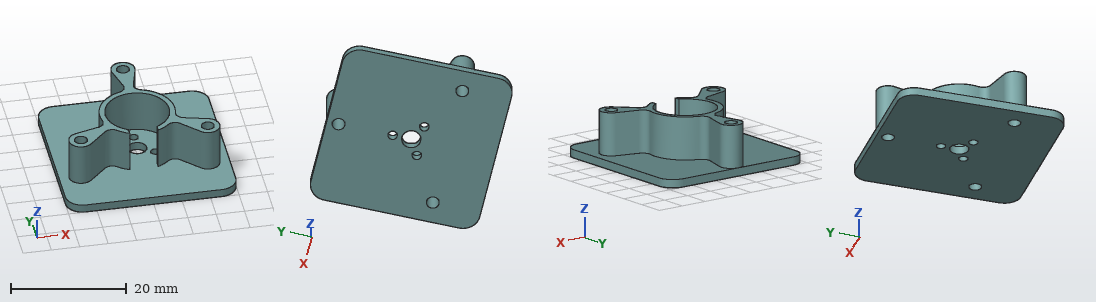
import cadquery as cq
import math

plate_side = 30.0
plate_thickness = 1.5
plate_corner_radius = 3.0
total_height = 9.2
wall_height = total_height - plate_thickness

ring_inner_radius = 5.6
ring_outer_radius = 6.6
gap_width = 5.0

arm_angles = (90, 210, 330)
post_distance = 12.9
post_radius = 2.1
post_hole_diameter = 2.2
arm_taper = math.radians(15)
arm_apex = post_distance - post_radius / math.sin(arm_taper)
arm_fillet_radius = 1.5

center_hole_diameter = 3.3
floor_hole_diameter = 1.6
floor_hole_distance = 3.3


def polar(radius, angle):
    """Point at a distance from the part axis, angle in degrees."""
    return (radius * math.cos(math.radians(angle)), radius * math.sin(math.radians(angle)))


def make_plate():
    plate = cq.Workplane("XY").rect(plate_side, plate_side).extrude(plate_thickness)
    return plate.edges("|Z").fillet(plate_corner_radius)


def make_disc(center, radius):
    """Upright cylinder from the plate top to the top of the part."""
    return cq.Workplane("XY", origin=(0, 0, plate_thickness)).center(*center).circle(radius).extrude(wall_height)


def make_arm(angle):
    """Arm whose flanks are tangent to the post and would meet inside the ring."""
    tangent_along = post_distance - post_radius * math.sin(arm_taper)
    tangent_across = post_radius * math.cos(arm_taper)
    web = (
        cq.Workplane("XY", origin=(0, 0, plate_thickness))
        .moveTo(arm_apex, 0)
        .lineTo(tangent_along, -tangent_across)
        .lineTo(post_distance, 0)
        .lineTo(tangent_along, tangent_across)
        .close()
        .extrude(wall_height)
    )
    arm = web.union(make_disc((post_distance, 0), post_radius))
    return arm.rotate((0, 0, 0), (0, 0, 1), angle)


def fillet_arm_roots(body):
    """Round the inside corners where the arm flanks meet the ring."""
    root_angle = math.degrees(arm_taper - math.asin(arm_apex * math.sin(arm_taper) / ring_outer_radius))
    mid_height = plate_thickness + wall_height / 2
    for angle in arm_angles:
        for side in (-1, 1):
            x, y = polar(ring_outer_radius, angle + side * root_angle)
            root = cq.selectors.NearestToPointSelector((x, y, mid_height))
            body = body.edges("|Z").edges(root).fillet(arm_fillet_radius)
    return body


def make_holder():
    body = make_disc((0, 0), ring_outer_radius)
    for angle in arm_angles:
        body = body.union(make_arm(angle))
    body = fillet_arm_roots(body)
    body = body.cut(make_disc((0, 0), ring_inner_radius))
    gap = cq.Workplane("XY").box(gap_width, ring_outer_radius, total_height, centered=(True, False, False))
    return body.cut(gap.translate((0, -ring_outer_radius, 0)))


def drill(body, centers, diameter):
    """Holes through the full height of the part."""
    holes = cq.Workplane("XY").pushPoints(centers).circle(diameter / 2).extrude(total_height)
    return body.cut(holes)


result = make_plate().union(make_holder())
result = drill(result, [(0, 0)], center_hole_diameter)
result = drill(result, [polar(floor_hole_distance, angle) for angle in arm_angles], floor_hole_diameter)
result = drill(result, [polar(post_distance, angle) for angle in arm_angles], post_hole_diameter)